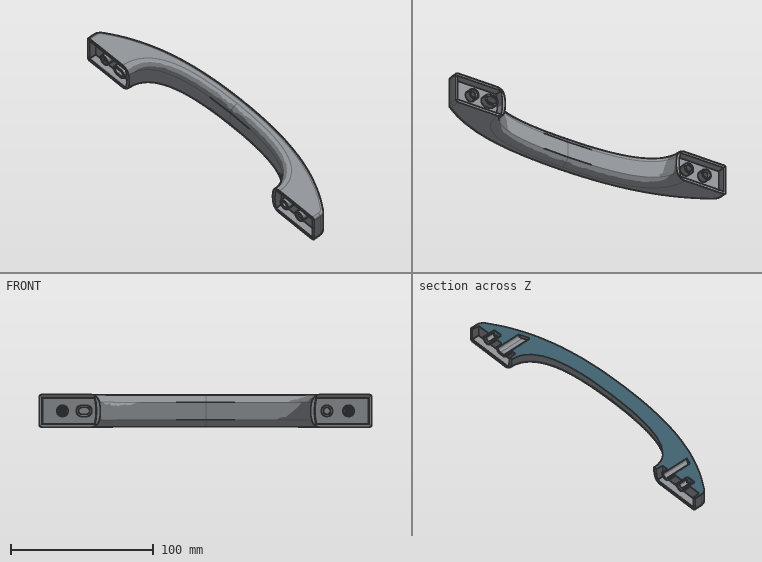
import cadquery as cq
import math


LENGTH = 233.0
HEIGHT = 39.8
FOOT_WIDTH = 23.0
SIDE_DRAFT = 0.6

GRIP_THICKNESS = 12.3
FOOT_LENGTH = 42.9
OUTER_END_HEIGHT = 9.3
OUTER_LOWER_PULL_X = 83.0
OUTER_LOWER_PULL_Y = 34.5
INNER_LOWER_PULL_Y = 22.0
UPPER_PULL_X = 42.0
OUTER_CORNER_RADIUS = 7.0
OUTER_EDGE_RADIUS = 2.0
INNER_EDGE_RADIUS = 6.5
CROWN_RADIUS = 28.0
CROWN_ROOT = 1.2

END_WALL = 1.9
SIDE_WALL = 2.0
INNER_WALL = 2.5
POCKET_BOW = 1.2
POCKET_DEPTH = 5.5
POCKET_TAPER = 5.0

PLAIN_BOSS_X = 85.0
INSERT_BOSS_X = 100.2
BOSS_BASE = 0.7
BOSS_DIAMETER = 8.0
BORE_DIAMETER = 5.0
SLOT_STRETCH = 3.0
ROOF_THICKNESS = 4.7

INSERT_DIAMETER = 6.8
INSERT_LENGTH = 10.0
INSERT_HOLE_DIAMETER = 4.2
INSERT_HOLE_DEPTH = 8.0
INSERT_CHAMFER = 1.2
CONE_BASE_RADIUS = 1.6
CONE_TIP_RADIUS = 0.5
CONE_HEIGHT = 1.2

FREE_CORNER = "|Z and (not <Y) and (not >X)"
GAP = 0.12

HALF_LENGTH = LENGTH / 2
HALF_FOOT = FOOT_WIDTH / 2
OPENING_X = HALF_LENGTH - FOOT_LENGTH
GRIP_UNDERSIDE = HEIGHT - GRIP_THICKNESS
CROWN_RISE = CROWN_RADIUS - math.sqrt(CROWN_RADIUS ** 2 - HALF_FOOT ** 2)


def grip_underside():
    """Half outline of the hand opening, from the -X foot bottom up to mid-length."""
    return (
        cq.Workplane("XY")
        .moveTo(-OPENING_X, 0)
        .bezier([(-OPENING_X, INNER_LOWER_PULL_Y), (-UPPER_PULL_X, GRIP_UNDERSIDE), (0, GRIP_UNDERSIDE)],
                includeCurrent=True)
    )


def under_outer_curve():
    """-X half of everything under the outer curve, with square edges."""
    return (
        cq.Workplane("XY", origin=(0, 0, -HALF_FOOT))
        .lineTo(-HALF_LENGTH, 0)
        .lineTo(-HALF_LENGTH, OUTER_END_HEIGHT)
        .bezier([(-OUTER_LOWER_PULL_X, OUTER_LOWER_PULL_Y), (-UPPER_PULL_X, HEIGHT), (0, HEIGHT)],
                includeCurrent=True)
        .close()
        .extrude(FOOT_WIDTH)
    )


def half_opening():
    """-X half of the space for the hand, cut deep enough to leave room for the crown."""
    return (
        grip_underside().lineTo(0, 0).close()
        .offset2D(CROWN_RISE + CROWN_ROOT / 2)
        .extrude(HALF_FOOT, both=True)
    )


def half_crown():
    """Strip along the opening whose face bulges towards the hand."""
    back_x = -OPENING_X - CROWN_RISE
    profile = (
        cq.Workplane("XZ")
        .moveTo(back_x - CROWN_ROOT, -HALF_FOOT)
        .lineTo(back_x, -HALF_FOOT)
        .threePointArc((-OPENING_X, 0), (back_x, HALF_FOOT))
        .lineTo(back_x - CROWN_ROOT, HALF_FOOT)
        .close()
    )
    return profile.sweep(grip_underside())


def drafted_sides():
    """Envelope whose long sides lean inward from the foot bottoms to the top of the bow."""
    top_half = HALF_FOOT - HEIGHT * math.tan(math.radians(SIDE_DRAFT))
    return (
        cq.Workplane("YZ")
        .moveTo(0, -HALF_FOOT)
        .lineTo(HEIGHT, -top_half)
        .lineTo(HEIGHT, top_half)
        .lineTo(0, HALF_FOOT)
        .close()
        .extrude(-HALF_LENGTH)
    )


def half_handle():
    """-X half of the solid handle, with its corners and long edges rounded."""
    block = under_outer_curve().edges(FREE_CORNER).fillet(OUTER_CORNER_RADIUS)
    block = block.intersect(drafted_sides())
    block = block.edges("not (|Z or <Y or >X)").fillet(OUTER_EDGE_RADIUS)
    block = block.cut(half_opening()).union(half_crown().intersect(drafted_sides()))
    inner_sides = [
        cq.selectors.BoxSelector(
            (-OPENING_X - 2 * CROWN_RISE, GAP, side * HALF_FOOT / 2),
            (-GAP, GRIP_UNDERSIDE + CROWN_RISE, side * FOOT_WIDTH))
        for side in (-1, 1)
    ]
    return block.edges(inner_sides[0] + inner_sides[1]).fillet(INNER_EDGE_RADIUS)


def left_pocket():
    """Shallow tapered recess in the bottom of the -X foot."""
    outer_x = -HALF_LENGTH + END_WALL
    inner_x = -OPENING_X - INNER_WALL
    half_width = HALF_FOOT - SIDE_WALL
    return (
        cq.Workplane("XZ")
        .moveTo(outer_x, -half_width)
        .lineTo(inner_x - POCKET_BOW, -half_width)
        .threePointArc((inner_x, 0), (inner_x - POCKET_BOW, half_width))
        .lineTo(outer_x, half_width)
        .close()
        .extrude(-POCKET_DEPTH, taper=POCKET_TAPER)
    )


def post(x, diameter, stretch, base_y, length):
    """Cylinder along +Y that starts at base_y, drawn out along X into a slot shape by the stretch."""
    plane = cq.Workplane("XZ", origin=(x, base_y, 0))
    if stretch > 0:
        return plane.slot2D(diameter + stretch, diameter).extrude(-length)
    return plane.circle(diameter / 2).extrude(-length)


def bored_core():
    """Space below the roof; its top, parallel to the outer curve, ends the plain bores."""
    left = under_outer_curve().translate((0, -ROOF_THICKNESS, 0))
    return left.union(left.mirror("YZ"))


def make_handle():
    """Whole handle body: the mirrored bow with its pockets, bosses and bores."""
    boss_length = POCKET_DEPTH - BOSS_BASE
    left = half_handle()
    handle = left.union(left.mirror("YZ"))
    pocket = left_pocket()
    handle = handle.cut(pocket).cut(pocket.mirror("YZ"))

    for x, stretch in ((-PLAIN_BOSS_X, SLOT_STRETCH), (PLAIN_BOSS_X, 0)):
        handle = handle.union(post(x, BOSS_DIAMETER, stretch, BOSS_BASE, boss_length))
        bore = post(x, BORE_DIAMETER, stretch, 0, HEIGHT)
        handle = handle.cut(bore.intersect(bored_core()))

    for x in (-INSERT_BOSS_X, INSERT_BOSS_X):
        handle = handle.union(post(x, BOSS_DIAMETER, 0, BOSS_BASE, boss_length))
        handle = handle.cut(post(x, INSERT_DIAMETER, 0, BOSS_BASE, INSERT_LENGTH))
    return handle


def make_insert(x):
    """Cylindrical insert with a countersunk blind hole; a blunt cone stands on the hole's floor."""
    hole_radius = INSERT_HOLE_DIAMETER / 2
    hole = (
        cq.Workplane("XY")
        .lineTo(hole_radius + INSERT_CHAMFER, 0)
        .lineTo(hole_radius, INSERT_CHAMFER)
        .lineTo(hole_radius, INSERT_HOLE_DEPTH)
        .lineTo(CONE_BASE_RADIUS, INSERT_HOLE_DEPTH)
        .lineTo(CONE_TIP_RADIUS, INSERT_HOLE_DEPTH - CONE_HEIGHT)
        .lineTo(0, INSERT_HOLE_DEPTH - CONE_HEIGHT)
        .close()
        .revolve(360, (0, 0, 0), (0, 1, 0))
        .translate((x, BOSS_BASE, 0))
    )
    return post(x, INSERT_DIAMETER, 0, BOSS_BASE, INSERT_LENGTH).cut(hole)


handle = make_handle()
inserts = [make_insert(x) for x in (-INSERT_BOSS_X, INSERT_BOSS_X)]
result = cq.Compound.makeCompound([handle.val(), *[insert.val() for insert in inserts]])